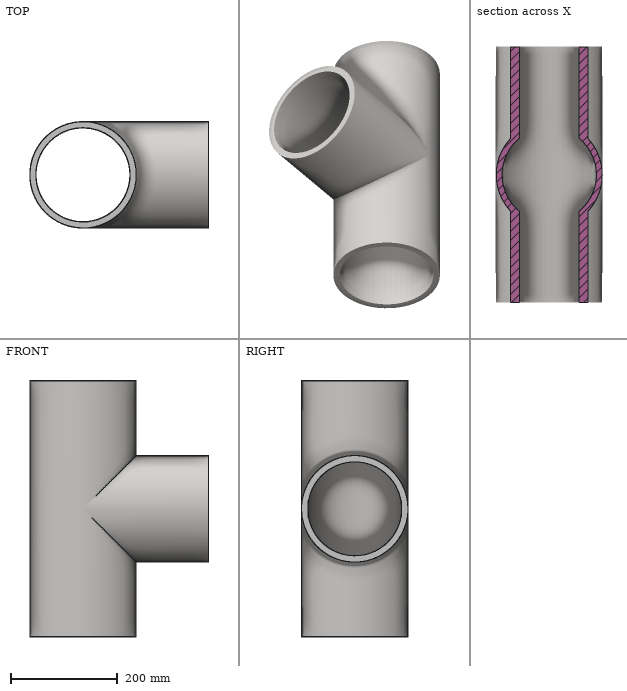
import cadquery as cq

outer_diameter = 200.0
wall_thickness = 11.9
run_length = 481.0
branch_reach = 236.0

outer_radius = outer_diameter / 2
bore_radius = outer_radius - wall_thickness


def run_cylinder(radius):
    """Vertical cylinder over the full run, centred on the origin."""
    return cq.Workplane("XY").circle(radius).extrude(run_length / 2, both=True)


def branch_cylinder(radius):
    """Horizontal cylinder from the run axis to the open branch end."""
    return cq.Workplane("YZ").circle(radius).extrude(branch_reach)


body = run_cylinder(outer_radius).union(branch_cylinder(outer_radius))
bore = run_cylinder(bore_radius).union(branch_cylinder(bore_radius))

result = body.cut(bore)